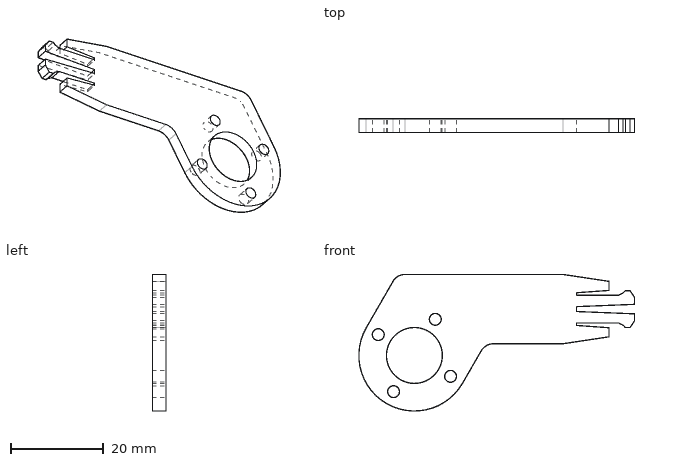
import cadquery as cq
import math

thickness = 3.0

head_radius = 12.0
bore_diameter = 12.0
screw_hole_diameter = 2.5
screw_circle_radius = 9.0
screw_hole_count = 4

neck_angle = 60.0
neck_fillet_radius = 3.0

arm_width = 15.0
arm_center_z = 10.0
taper_start_x = 32.0

tab_end_x = 42.0
tab_outer_offset = 6.0
tab_inner_offset = 4.0

slot_floor_x = 35.0
side_slot_floor_offset = 3.5
center_slot_floor_offset = 0.5
center_slot_mouth_offset = 1.0

finger_outer_offset = 3.0
hook_start_x = 44.0
hook_knee_x = 45.0
hook_knee_offset = 3.5
hook_crest_start_x = 45.5
hook_crest_end_x = 46.5
hook_crest_offset = 4.0
finger_end_x = 47.5
finger_end_offset = 2.5

lean = math.radians(neck_angle)


def neck_tangent_point(side):
    """Where a neck edge leaves the head; side is -1 for the upper left edge, +1 for the lower right."""
    return (side * head_radius * math.sin(lean), -side * head_radius * math.cos(lean))


def neck_corner(side):
    """Sharp corner between a neck edge and the long arm edge that it meets."""
    tangent_x, tangent_z = neck_tangent_point(side)
    corner_z = arm_center_z - side * arm_width / 2
    return (tangent_x + (corner_z - tangent_z) / math.tan(lean), corner_z)


def arm_end_half_points():
    """Upper half of the arm end as (x, offset) pairs, from the arm edge in to the centre slot."""
    return [
        (taper_start_x, arm_width / 2),
        (tab_end_x, tab_outer_offset),
        (tab_end_x, tab_inner_offset),
        (slot_floor_x, side_slot_floor_offset),
        (slot_floor_x, finger_outer_offset),
        (hook_start_x, finger_outer_offset),
        (hook_knee_x, hook_knee_offset),
        (hook_crest_start_x, hook_crest_offset),
        (hook_crest_end_x, hook_crest_offset),
        (finger_end_x, finger_end_offset),
        (finger_end_x, center_slot_mouth_offset),
        (slot_floor_x, center_slot_floor_offset),
    ]


def plate():
    """Head, neck and arm as one flat plate with sharp neck corners."""
    half_end = arm_end_half_points()
    upper_end = [(x, arm_center_z + offset) for x, offset in half_end]
    lower_end = [(x, arm_center_z - offset) for x, offset in reversed(half_end)]
    head_far_point = (-head_radius * math.cos(lean), -head_radius * math.sin(lean))
    return (
        cq.Workplane("XZ")
        .moveTo(*neck_tangent_point(-1))
        .lineTo(*neck_corner(-1))
        .polyline(upper_end + lower_end, includeCurrent=True)
        .lineTo(*neck_corner(1))
        .lineTo(*neck_tangent_point(1))
        .threePointArc(head_far_point, neck_tangent_point(-1))
        .close()
        .extrude(-thickness)
    )


def round_neck_corners(body):
    """Fillet the two corners where the neck turns into the arm."""
    for side in (-1, 1):
        corner_x, corner_z = neck_corner(side)
        corner_edge = cq.selectors.NearestToPointSelector((corner_x, thickness / 2, corner_z))
        body = body.edges("|Y").edges(corner_edge).fillet(neck_fillet_radius)
    return body


def head_holes():
    """Cutters for the bore and the screw holes, one pair of which lies along the neck direction."""
    bore = cq.Workplane("XZ").circle(bore_diameter / 2).extrude(-thickness)
    screw_holes = (
        cq.Workplane("XZ")
        .polarArray(screw_circle_radius, neck_angle, 360, screw_hole_count)
        .circle(screw_hole_diameter / 2)
        .extrude(-thickness)
    )
    return bore.union(screw_holes)


result = round_neck_corners(plate()).cut(head_holes())